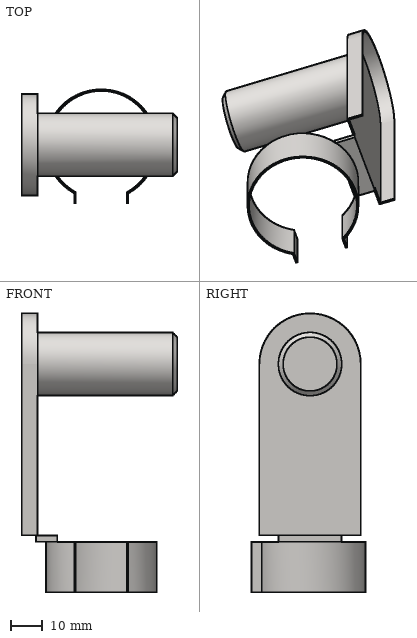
import cadquery as cq
import math

sheet = 0.5
total_height = 88
total_length = 49.0

tray_width = 32.0
tray_depth = 5.0
tray_radius = tray_width / 2

pin_diameter = 20.0
pin_chamfer = 1.5
pin_axis_z = total_height - tray_radius

clip_height = 15.9
clip_radius = 17.5
clip_center_x = 25.1
lip_half_gap = 8.0
lip_end_y = -18.5
tab_height = 2.0
tab_width = 20.0
tab_end_x = 11.3
tray_bottom_z = clip_height + tab_height


def arched_plate(start_x, thickness, radius):
    """Plate with a half-round top concentric with the pin."""
    return (
        cq.Workplane("YZ", origin=(start_x, 0, 0))
        .moveTo(-radius, tray_bottom_z)
        .lineTo(-radius, pin_axis_z)
        .threePointArc((0, pin_axis_z + radius), (radius, pin_axis_z))
        .lineTo(radius, tray_bottom_z)
        .close()
        .extrude(thickness)
    )


def make_tray():
    panel_x = tray_depth - sheet
    cavity = arched_plate(0, panel_x, tray_radius - sheet)
    return arched_plate(0, tray_depth, tray_radius).cut(cavity)


def make_pin():
    return (
        cq.Workplane("YZ", origin=(tray_depth, 0, pin_axis_z))
        .circle(pin_diameter / 2)
        .extrude(total_length - tray_depth)
        .faces(">X")
        .chamfer(pin_chamfer)
    )


def make_tab():
    start_x = tray_depth - sheet
    return cq.Workplane("XY", origin=(start_x, 0, clip_height)).box(
        tab_end_x - start_x, tab_width, tab_height, centered=(False, True, False)
    )


def make_clip():
    """Thin open ring with two straight lips toward -Y."""
    inner_radius = clip_radius - sheet
    lip_outer = lip_half_gap + sheet
    outer_y = -math.sqrt(clip_radius**2 - lip_outer**2)
    inner_y = -math.sqrt(inner_radius**2 - lip_half_gap**2)
    return (
        cq.Workplane("XY", origin=(clip_center_x, 0, 0))
        .moveTo(-lip_outer, lip_end_y)
        .lineTo(-lip_outer, outer_y)
        .threePointArc((0, clip_radius), (lip_outer, outer_y))
        .lineTo(lip_outer, lip_end_y)
        .lineTo(lip_half_gap, lip_end_y)
        .lineTo(lip_half_gap, inner_y)
        .threePointArc((0, inner_radius), (-lip_half_gap, inner_y))
        .lineTo(-lip_half_gap, lip_end_y)
        .close()
        .extrude(clip_height)
    )


result = make_tray().union(make_pin()).union(make_tab()).union(make_clip())